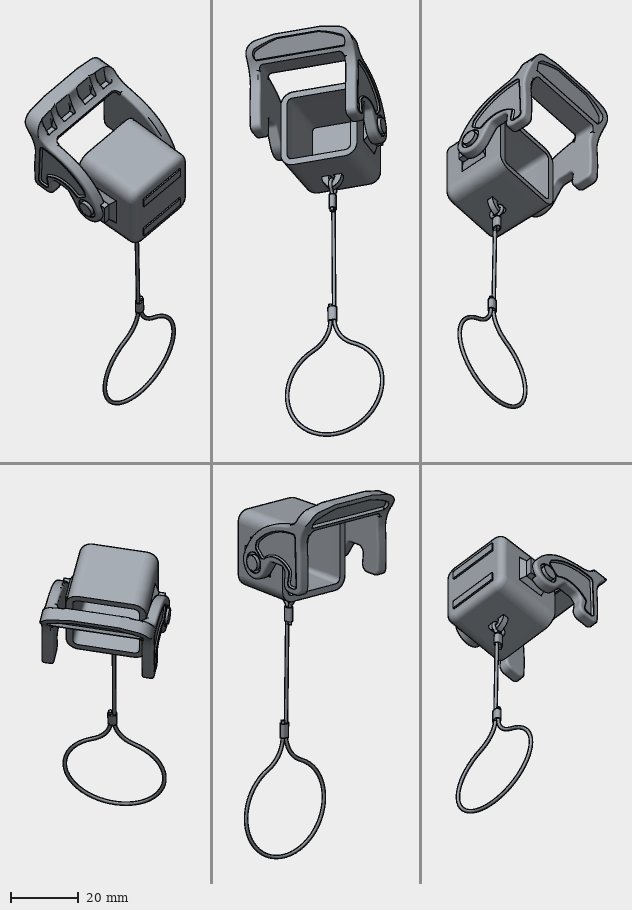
import cadquery as cq
import math


TOTAL_HEIGHT = 119.0
LEVER_TOP = 22.4
LOOP_BOTTOM = LEVER_TOP - TOTAL_HEIGHT
LEVER_LEFT = -25.8
TOTAL_LENGTH = 40.7
TOTAL_WIDTH = 35.0

CAP_SIZE = 24.0
CAP_CORNER = 3.9
CAP_FRONT = -7.6
RIM_LENGTH = 2.5
CAP_BACK = 14.4
CAP_DRAFT = 0.7
BACK_FILLET = 2.1
MOUTH_SIZE = 20.0
MOUTH_CORNER = 1.7
MOUTH_DEPTH = 4.3
CAVITY_DEPTH = 19.7
CAVITY_DRAFT = 1.8
BACK_PAD_WIDTH = 16.0
BACK_PAD_HEIGHT = 3.1
BACK_PAD_OFFSET = 6.8

ARM_OUTER = 16.8
ARM_INNER = 13.3
ARM_FILLET = 0.7
PIVOT_END_RADIUS = 5.1
UNDERSIDE_ANGLE = 215
HOOK_CEILING = 2.0
HOOK_BACK_RADIUS = 1.8
HOOK_FRONT_RADIUS = 2.0
FOOT_BOTTOM = -5.5
FOOT_BACK_RADIUS = 2.4
FOOT_FRONT_RADIUS = 1.9
HORN_TIP_RADIUS = 0.7
BEND_RADIUS = 10.7
BAR_BACK = -16.2
BAR_BOTTOM = 14.8
WINDOW_CORNER = 1.9
UNDERCUT_CORNER = 1.4
ARM_POCKET_DEPTH = 0.7
ARM_POCKET_CORNER = 1.2
ARM_POCKET_SLOPE = 0.5
RECESS_BOTTOM = 15.8
RECESS_TOP = 21.0
RECESS_LIP = 0.7
GRIP_POCKET_X = -19.2
GRIP_POCKET_LENGTH = 1.9
GRIP_POCKET_DRAFT = 10
GRIP_POCKET_FLOOR = 15.7
GRIP_POCKETS = ((4.5, 4.5), (12.0, 3.6))

BOSS_BASE = 5.2
BOSS_TOP = 3.5
BOSS_FRONT = -1.9
BOSS_BASE_BACK = 7.4
BOSS_TOP_BACK = 5.7
BOSS_END = 15.2
PIN_RADIUS = 2.4
PIN_RECESS_RADIUS = 3.2
PIN_RECESS_DEPTH = 0.5

WIRE = 1.1
WIRE_PITCH = 1.2
LUG_X = 3.9
LUG_THICKNESS = 1.9
LUG_WIDTH = 6.2
LUG_BOTTOM = -16.0
LUG_HOLE_RADIUS = 1.0
FERRULE_WIDTH = 2.7
FERRULE_DEPTH = 1.9
FERRULE_LENGTH = 4.4
UPPER_FERRULE_TOP = -18.2
LOWER_FERRULE_TOP = -54.5
CABLE_LEAN = 1.0
EYE_RADIUS = 2.0
EYE_NECK_RADIUS = 1.8
LOOP_RADIUS = 15.0
LOOP_NECK_RADIUS = 9.9
TAIL_LENGTH = 1.0


def box(x0, x1, y0, y1, z0, z1):
    """Axis-aligned block between two corners."""
    return cq.Workplane("XY").box(x1 - x0, y1 - y0, z1 - z0, centered=False).translate((x0, y0, z0))


def both_sides(shape):
    """The shape together with its mirror image across the XZ plane."""
    return shape.union(shape.mirror("XZ"))


def square_prism(x, size, corner, length, draft):
    """Rounded square at a given X, extruded along +X with a draft angle."""
    sketch = cq.Sketch().rect(size, size).vertices().fillet(corner)
    return cq.Workplane("YZ", origin=(x, 0, 0)).placeSketch(sketch).extrude(length, taper=draft)


def make_cap():
    rim_end = CAP_FRONT + RIM_LENGTH
    tail = square_prism(rim_end, CAP_SIZE, CAP_CORNER, CAP_BACK - rim_end, CAP_DRAFT)
    tail = tail.faces(">X").edges().fillet(BACK_FILLET)
    cap = square_prism(CAP_FRONT, CAP_SIZE, CAP_CORNER, RIM_LENGTH, 0).union(tail)
    pad_end = LEVER_LEFT + TOTAL_LENGTH
    half = BACK_PAD_WIDTH / 2
    for side in (-1, 1):
        low = side * BACK_PAD_OFFSET - BACK_PAD_HEIGHT / 2
        cap = cap.union(box(CAP_BACK - 1.2, pad_end, -half, half, low, low + BACK_PAD_HEIGHT))
    mouth = square_prism(CAP_FRONT, MOUTH_SIZE, MOUTH_CORNER, MOUTH_DEPTH, 0)
    cavity = square_prism(CAP_FRONT + MOUTH_DEPTH, MOUTH_SIZE, MOUTH_CORNER,
                          CAVITY_DEPTH - MOUTH_DEPTH, CAVITY_DRAFT)
    return cap.cut(mouth).cut(cavity)


def make_bosses():
    """Pyramidal bosses on the cap sides that carry the lever."""
    root = CAP_SIZE / 2 - 0.2

    def rectangle(plane, back, half):
        plane = plane.moveTo(BOSS_FRONT, -half).lineTo(back, -half)
        return plane.lineTo(back, half).lineTo(BOSS_FRONT, half).close()

    slope = rectangle(cq.Workplane("XZ", origin=(0, -root, 0)), BOSS_BASE_BACK, BOSS_BASE)
    slope = slope.workplane(offset=ARM_INNER - root)
    slope = rectangle(slope, BOSS_TOP_BACK, BOSS_TOP).loft(ruled=True)
    seat = box(BOSS_FRONT, BOSS_TOP_BACK, -BOSS_END, -ARM_INNER, -BOSS_TOP, BOSS_TOP)
    return both_sides(slope.union(seat))


def polar(radius, degrees):
    """Point at a given radius and angle about the origin."""
    angle = math.radians(degrees)
    return (radius * math.cos(angle), radius * math.sin(angle))


def lever_profile(y_start, length):
    """Side outline of the lever, extruded from y_start towards -Y."""
    under_x, under_z = polar(PIVOT_END_RADIUS, UNDERSIDE_ANGLE)
    hook_run = (HOOK_CEILING - under_z) / math.tan(math.radians(UNDERSIDE_ANGLE - 90))
    hook_back = (under_x + hook_run, HOOK_CEILING)
    hook_front = (-14.3, HOOK_CEILING)
    foot_back = (-13.2, FOOT_BOTTOM)
    foot_front = (-20.9, FOOT_BOTTOM)
    horn_tip = (-21.0, LEVER_TOP)
    front_bend = (-20.6, 12.3)
    profile = (
        cq.Workplane("XZ", origin=(0, y_start, 0))
        .moveTo(under_x, under_z)
        .threePointArc(polar(PIVOT_END_RADIUS, -50), polar(PIVOT_END_RADIUS, 23))
        .tangentArcPoint((-7.9, 13.5), relative=False)
        .tangentArcPoint((-14.3, 15.0), relative=False)
        .tangentArcPoint(horn_tip, relative=False)
        .lineTo(LEVER_LEFT, LEVER_TOP)
        .threePointArc((-25.3, 19.3), (-23.9, 16.5))
        .lineTo(*front_bend)
        .threePointArc((-21.3, 2.9), foot_front)
        .lineTo(*foot_back)
        .lineTo(*hook_front)
        .lineTo(*hook_back)
        .close()
        .extrude(length)
    )
    rounded_corners = ((horn_tip, HORN_TIP_RADIUS), (front_bend, BEND_RADIUS),
                       (hook_back, HOOK_BACK_RADIUS), (hook_front, HOOK_FRONT_RADIUS),
                       (foot_back, FOOT_BACK_RADIUS), (foot_front, FOOT_FRONT_RADIUS))
    for (x, z), radius in rounded_corners:
        corner = cq.selectors.NearestToPointSelector((x, y_start - length / 2, z))
        profile = profile.edges("|Y").edges(corner).fillet(radius)
    return profile


def arm_pocket():
    """Shallow sloped-wall recess in the outer face of the -Y arm."""
    return (
        cq.Workplane("XZ", origin=(0, -ARM_OUTER, 0))
        .moveTo(-19.4, -3.7)
        .lineTo(-18.8, 13.3)
        .lineTo(-16.0, 13.3)
        .threePointArc((-7.7, 11.4), (-1.3, 7.0))
        .lineTo(-0.6, 4.8)
        .lineTo(-3.8, 1.7)
        .threePointArc((-10.7, 3.9), (-16.2, 1.1))
        .lineTo(-15.2, -3.7)
        .close()
        .extrude(-ARM_POCKET_DEPTH)
        .edges("|Y").fillet(ARM_POCKET_CORNER)
        .faces(">Y").edges().chamfer(ARM_POCKET_SLOPE)
    )


def make_arms():
    arm = lever_profile(-ARM_INNER, ARM_OUTER - ARM_INNER)
    arm = arm.faces("<Y or >Y").edges().fillet(ARM_FILLET)
    recess = cq.Workplane("XZ", origin=(0, -ARM_OUTER, 0)).circle(PIN_RECESS_RADIUS).extrude(-PIN_RECESS_DEPTH)
    pin_length = TOTAL_WIDTH / 2 - ARM_INNER
    pin = cq.Workplane("XZ", origin=(0, -ARM_INNER, 0)).circle(PIN_RADIUS).extrude(pin_length)
    return both_sides(arm.cut(arm_pocket()).cut(recess).union(pin))


def make_crossbar():
    """Bar joining the two arms, with grip pockets behind its top edge."""
    half = ARM_OUTER - ARM_FILLET
    reach = 47.6
    bar = lever_profile(half, 2 * half)
    bar = bar.intersect(box(LEVER_LEFT - 1.2, BAR_BACK + WINDOW_CORNER, -half, half,
                            BAR_BOTTOM - UNDERCUT_CORNER, LEVER_TOP + 1.2))
    window = box(BAR_BACK, reach, -ARM_INNER, ARM_INNER, -reach, reach)
    bar = bar.cut(window.edges("|Z and <X").fillet(WINDOW_CORNER))
    undercut = box(-reach, reach, -ARM_INNER, ARM_INNER, -reach, BAR_BOTTOM)
    bar = bar.cut(undercut.edges("|X and >Z").fillet(UNDERCUT_CORNER))
    for offset, width in GRIP_POCKETS:
        pocket = (
            cq.Workplane("XY", origin=(GRIP_POCKET_X, offset, GRIP_POCKET_FLOOR))
            .rect(GRIP_POCKET_LENGTH, width)
            .extrude(LEVER_TOP - GRIP_POCKET_FLOOR, taper=-GRIP_POCKET_DRAFT)
        )
        bar = bar.cut(both_sides(pocket))
    return bar


def finger_recess():
    """Flat-floored recess in the front of the crossbar, with a sloped lower lip."""
    outline = (
        cq.Workplane("YZ", origin=(LEVER_LEFT - 1.2, 0, 0))
        .moveTo(-13.6, RECESS_BOTTOM)
        .threePointArc((-14.5, 17.5), (-13.6, 18.9))
        .threePointArc((-10.7, 20.0), (-6.5, RECESS_TOP))
        .lineTo(6.5, RECESS_TOP)
        .threePointArc((10.7, 20.0), (13.6, 18.9))
        .threePointArc((14.5, 17.5), (13.6, RECESS_BOTTOM))
        .close()
        .extrude(6)
    )
    section = (
        cq.Workplane("XZ", origin=(0, ARM_OUTER, 0))
        .moveTo(LEVER_LEFT - 1.2, RECESS_BOTTOM)
        .lineTo(-23.3, RECESS_BOTTOM)
        .lineTo(-22.6, RECESS_BOTTOM + RECESS_LIP)
        .lineTo(-25.1, RECESS_TOP)
        .lineTo(LEVER_LEFT - 1.2, RECESS_TOP)
        .close()
        .extrude(2 * ARM_OUTER)
    )
    return outline.intersect(section)


def top_outline():
    """Rounded-shoulder outline of the whole lever, looking along X."""
    return (
        cq.Workplane("YZ", origin=(-35.7, 0, 0))
        .moveTo(-ARM_OUTER, -11.9)
        .lineTo(-ARM_OUTER, 16.5)
        .threePointArc((-15.7, 19.7), (-12.7, 21.4))
        .lineTo(-9.9, 21.9)
        .lineTo(-7.3, LEVER_TOP)
        .lineTo(7.3, LEVER_TOP)
        .lineTo(9.9, 21.9)
        .lineTo(12.7, 21.4)
        .threePointArc((15.7, 19.7), (ARM_OUTER, 16.5))
        .lineTo(ARM_OUTER, -11.9)
        .close()
        .extrude(59.5)
    )


def make_lever():
    arms = make_arms()
    pins = arms.cut(box(-35.7, 35.7, -ARM_OUTER, ARM_OUTER, -35.7, 35.7))
    body = arms.union(make_crossbar()).intersect(top_outline()).cut(finger_recess())
    return body.union(pins)


def make_lug():
    """Rounded tab under the cap with a hole for the cable eye."""
    half = LUG_WIDTH / 2
    root = -CAP_SIZE / 2 + 0.6
    eye_top = eye_centre() + EYE_RADIUS
    lug = (
        cq.Workplane("YZ", origin=(LUG_X - LUG_THICKNESS / 2, 0, 0))
        .moveTo(-half, root)
        .lineTo(-half, -CAP_SIZE / 2)
        .threePointArc((-half * 0.7, LUG_BOTTOM + 1.4), (0, LUG_BOTTOM))
        .threePointArc((half * 0.7, LUG_BOTTOM + 1.4), (half, -CAP_SIZE / 2))
        .lineTo(half, root)
        .close()
        .extrude(LUG_THICKNESS)
    )
    hole_z = eye_top - WIRE / 2 + 0.1 + LUG_HOLE_RADIUS
    hole = cq.Workplane("YZ", origin=(LUG_X - LUG_THICKNESS, 0, hole_z)).circle(LUG_HOLE_RADIUS)
    return lug.cut(hole.extrude(2 * LUG_THICKNESS))


def neck_height(radius, neck, inset):
    """Height above a loop's centre where a wire at X = inset becomes straight."""
    return math.sqrt((radius + neck) ** 2 - (inset + neck) ** 2)


def eye_centre():
    return UPPER_FERRULE_TOP + neck_height(EYE_RADIUS, EYE_NECK_RADIUS, WIRE_PITCH / 2)


def wire_loop(radius, neck, lead, tail, lead_end, tail_end):
    """Teardrop of wire in the XZ plane, hanging below its parallel wires.

    The loop centre is the origin. The parallel wires stand at X = lead and
    X = -tail and end at the heights lead_end and tail_end.
    """

    def shoulder(inset):
        """Start of the neck arc, its middle, and where it meets the loop."""
        top = neck_height(radius, neck, inset)
        angle = math.atan2(top, inset + neck)
        middle = (inset + neck - neck * math.cos(angle / 2), top - neck * math.sin(angle / 2))
        return (inset, top), middle, (radius * math.cos(angle), radius * math.sin(angle))

    def mirrored(point):
        return (-point[0], point[1])

    lead_start, lead_middle, lead_touch = shoulder(lead)
    tail_start, tail_middle, tail_touch = (mirrored(point) for point in shoulder(tail))
    path = (
        cq.Workplane("XZ")
        .moveTo(lead, lead_end)
        .lineTo(*lead_start)
        .threePointArc(lead_middle, lead_touch)
        .threePointArc((0, -radius), tail_touch)
        .threePointArc(tail_middle, tail_start)
        .lineTo(-tail, tail_end)
    )
    return cq.Workplane("XY", origin=(lead, 0, lead_end)).circle(WIRE / 2).sweep(path)


def ferrule(z_top):
    """Crimped sleeve around two side-by-side wires in the XZ plane."""
    sleeve = cq.Workplane("XY", origin=(0, 0, z_top)).slot2D(FERRULE_WIDTH, FERRULE_DEPTH)
    return sleeve.extrude(-FERRULE_LENGTH)


def make_eye():
    """Small eye through the lug, with its ferrule and cut-off wire end."""
    side = WIRE_PITCH / 2
    end = eye_centre() - UPPER_FERRULE_TOP + FERRULE_LENGTH + TAIL_LENGTH
    eye = wire_loop(EYE_RADIUS, EYE_NECK_RADIUS, side, side, end, end)
    eye = eye.rotate((0, 0, 0), (0, 1, 0), 180).translate((0, 0, eye_centre()))
    return eye.union(ferrule(UPPER_FERRULE_TOP)).translate((LUG_X, 0, 0))


def make_cable():
    """Long cable ending in the large loop, leaning slightly towards +X."""
    loop_centre = LOOP_BOTTOM + WIRE / 2 + LOOP_RADIUS
    cable_top = UPPER_FERRULE_TOP - FERRULE_LENGTH / 2
    tail_top = LOWER_FERRULE_TOP + TAIL_LENGTH
    cable = wire_loop(LOOP_RADIUS, LOOP_NECK_RADIUS, 0, WIRE_PITCH,
                      cable_top - loop_centre, tail_top - loop_centre)
    sleeve = ferrule(LOWER_FERRULE_TOP).translate((-WIRE_PITCH / 2, 0, 0))
    cable = cable.translate((0, 0, loop_centre)).union(sleeve)
    cable = cable.rotate((0, 0, 0), (0, 0, 1), -90)
    cable = cable.rotate((0, 0, cable_top), (0, 1, cable_top), -CABLE_LEAN)
    return cable.translate((LUG_X + WIRE_PITCH / 2, 0, 0))


result = make_cap()
for piece in (make_bosses(), make_lever(), make_lug(), make_eye(), make_cable()):
    result = result.union(piece)